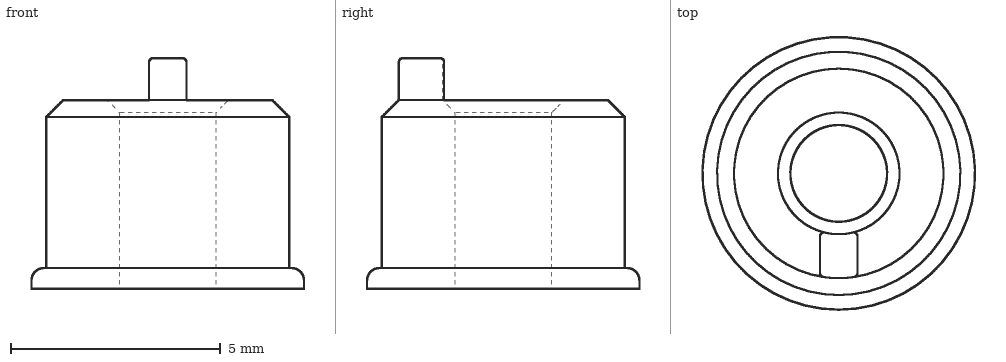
import cadquery as cq

flange_diameter = 6.5
flange_height = 0.5
flange_rounding = 0.3

body_diameter = 5.8
body_top = 4.5
body_chamfer = 0.4

bore_diameter = 2.3
bore_chamfer = 0.3

key_width = 0.9
key_top = 5.5
key_rounding = 0.1
key_inner_radius = bore_diameter / 2 + bore_chamfer
key_outer_radius = body_diameter / 2 - body_chamfer


def make_bushing():
    """Flanged body with a chamfered top rim and bore."""
    flange = cq.Workplane("XY").circle(flange_diameter / 2).extrude(flange_height)
    flange = flange.faces(">Z").edges().fillet(flange_rounding)
    body = cq.Workplane("XY").circle(body_diameter / 2).extrude(body_top)
    body = body.faces(">Z").edges().chamfer(body_chamfer)
    bore = cq.Workplane("XY").circle(bore_diameter / 2).extrude(body_top)
    bushing = flange.union(body).cut(bore)
    bore_rim = cq.selectors.RadiusNthSelector(0)
    bushing = bushing.faces(">Z").edges(bore_rim).chamfer(bore_chamfer)
    return bushing.rotate((0, 0, 0), (0, 0, 1), -90)


def make_key():
    """Ring segment on the -Y side with rounded upright and top edges."""
    key_height = key_top - body_top
    ring = (
        cq.Workplane("XY", origin=(0, 0, body_top))
        .circle(key_outer_radius)
        .circle(key_inner_radius)
        .extrude(key_height)
    )
    strip = (
        cq.Workplane("XY", origin=(0, -key_outer_radius / 2, body_top))
        .rect(key_width, key_outer_radius)
        .extrude(key_height)
    )
    key = ring.intersect(strip)
    return key.edges("|Z or >Z").fillet(key_rounding)


result = make_bushing().union(make_key())